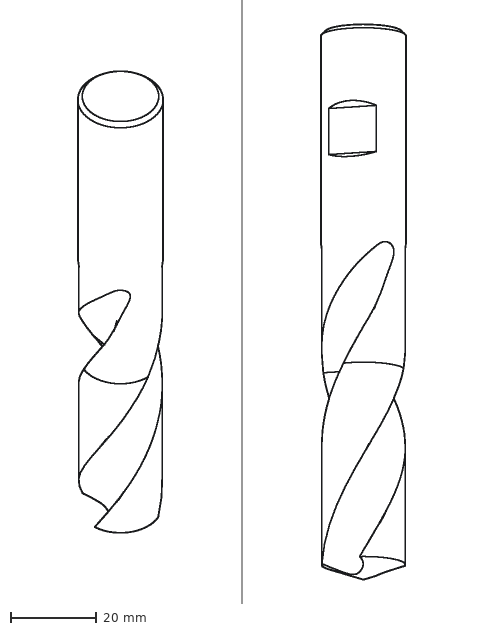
import cadquery as cq
import math

total_length = 131.0
cutting_length = 50.0
neck_top = 79.3
shank_start = 80.5

shank_radius = 20.0 / 2
drill_radius = 19.6 / 2
end_chamfer = 1.0
point_angle = 140.0
point_height = drill_radius / math.tan(math.radians(point_angle / 2))

flat_offset = 8.1
flat_center_z = 106.0
flat_length = 11.0
flat_end_slant = 1.2

flute_count = 2
flute_step_angle = 360.0 / flute_count
helix_angle = 30.0
helix_pitch = 2 * math.pi * drill_radius / math.tan(math.radians(helix_angle))
flute_start_angle = 12.0
rake_offset = 0.3
rake_inner = 5.9
core_radius = 2.6
heel_angle = 79.0
flute_sections = 12
cutter_overrun = 1.3
flute_reach = 18.3

runout_start = 57.6
runout_end = 79.1
runout_power = 1.5
runout_lift = drill_radius - core_radius

core_angle = heel_angle / 2


def polar(radius, angle):
    """Point at a radius and an angle in degrees."""
    return (radius * math.cos(math.radians(angle)), radius * math.sin(math.radians(angle)))


def helix_turn(height):
    """Rotation of the flute, in degrees, over a height."""
    return 360.0 * height / helix_pitch


def flute_profile(z, lift=0.0):
    """Cutter outline at height z, lifted outward along the middle of the flute."""
    profile = (
        cq.Workplane("XY")
        .moveTo(flute_reach, rake_offset)
        .lineTo(rake_inner, rake_offset)
        .threePointArc(polar(core_radius, core_angle), polar(drill_radius, heel_angle))
        .lineTo(*polar(flute_reach, heel_angle))
        .lineTo(*polar(flute_reach, core_angle))
        .close()
        .val()
    )
    turn = flute_start_angle + helix_turn(z)
    lift_x, lift_y = polar(lift, core_angle)
    profile = profile.translate(cq.Vector(lift_x, lift_y, 0))
    profile = profile.rotate(cq.Vector(0, 0, 0), cq.Vector(0, 0, 1), turn)
    return profile.translate(cq.Vector(0, 0, z))


def flute_cutter():
    """Whole flute: full depth from below the tip, then rising out of the neck."""
    profiles = []
    for i in range(flute_sections + 1):
        z = -cutter_overrun + i / flute_sections * (runout_end + cutter_overrun)
        rise = max(0.0, z - runout_start) / (runout_end - runout_start)
        profiles.append(flute_profile(z, runout_lift * rise**runout_power))
    return cq.Solid.makeLoft(profiles)


def cut_flutes(body, cutter):
    """Cut copies of one flute cutter, evenly spaced around the axis."""
    for i in range(flute_count):
        body = body.cut(
            cq.Workplane("XY").add(
                cutter.rotate(cq.Vector(0, 0, 0), cq.Vector(0, 0, 1), i * flute_step_angle)
            )
        )
    return body


def flat_cutter():
    """Recess with slanted ends that leaves the clamping flat."""
    half_flat = flat_length / 2
    half_mouth = half_flat + flat_end_slant
    return (
        cq.Workplane("YZ")
        .moveTo(flat_offset, flat_center_z - half_flat)
        .lineTo(shank_radius, flat_center_z - half_mouth)
        .lineTo(shank_radius, flat_center_z + half_mouth)
        .lineTo(flat_offset, flat_center_z + half_flat)
        .close()
        .extrude(shank_radius, both=True)
    )


def make_cutting_head():
    """Fluted drill end with a conical point."""
    head = (
        cq.Workplane("XZ")
        .polyline([
            (0, 0),
            (drill_radius, point_height),
            (drill_radius, cutting_length),
            (0, cutting_length),
        ])
        .close()
        .revolve(360, (0, 0), (0, 1))
    )
    return cut_flutes(head, flute_cutter())


def make_holder():
    """Neck with the flute run-outs, and the clamping shank above it."""
    holder = (
        cq.Workplane("XZ")
        .polyline([
            (0, cutting_length),
            (drill_radius, cutting_length),
            (drill_radius, neck_top),
            (shank_radius, shank_start),
            (shank_radius, total_length - end_chamfer),
            (shank_radius - end_chamfer, total_length),
            (0, total_length),
        ])
        .close()
        .revolve(360, (0, 0), (0, 1))
        .cut(flat_cutter())
    )
    return cut_flutes(holder, flute_cutter())


cutting_head = make_cutting_head()
holder = make_holder()
result = cq.Compound.makeCompound([cutting_head.val(), holder.val()])